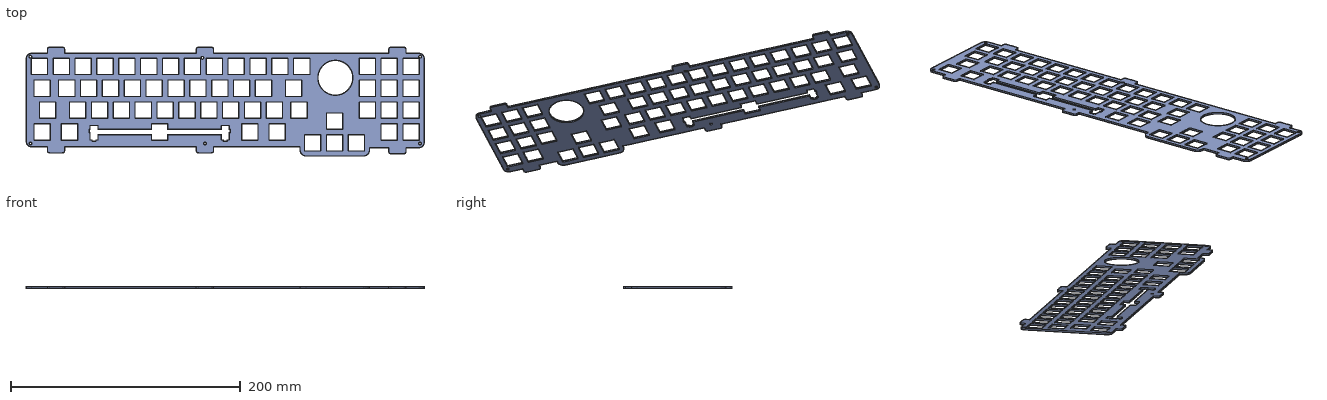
import cadquery as cq

THICKNESS = 1.6
KEY_PITCH = 19.05
SWITCH_SIZE = 14.0
COLUMNS = 18
MARGIN = 2.0
LENGTH = COLUMNS * KEY_PITCH + 2 * MARGIN
OVERALL_WIDTH = 94.96
MAIN_WIDTH = 81.75
CORNER_RADIUS = 4.75

SPACE_BAR = 7
MAIN_ROWS = (
    [1] * 13,
    [1.25] + [1] * 10 + [1.75],
    [1.75] + [1] * 10 + [1.25],
    [1.25, 1.25, SPACE_BAR, 1.25, 1.25],
)
SPACE_ROW = len(MAIN_ROWS) - 1
SPACE_COLUMN = 5.5

KEYPAD_ROWS = ((15, 16, 17), (15, 16, 17), (15, 16, 17), (16, 17))

ARROW_FIRST_COLUMN = 12.5
ARROW_KEYS = 3
ARROW_ROW = 3.5
ARROW_CORNER_RADIUS = 5.5
ARROW_LEFT_TRIM = 0.4

RIGHT = LENGTH / 2
LEFT = -RIGHT
ARROW_BOTTOM = -OVERALL_WIDTH / 2
TOP = ARROW_BOTTOM + (ARROW_ROW + 1) * KEY_PITCH + 2 * MARGIN
BOTTOM = TOP - MAIN_WIDTH
RIGHT_DROP = 0.725
RIGHT_BOTTOM = BOTTOM - RIGHT_DROP
ARROW_BLOCK_LEFT = LEFT + ARROW_FIRST_COLUMN * KEY_PITCH
ARROW_LEFT = ARROW_BLOCK_LEFT + ARROW_LEFT_TRIM
ARROW_RIGHT = ARROW_BLOCK_LEFT + ARROW_KEYS * KEY_PITCH + 2 * MARGIN

TAB_WIDTH = 15.2
TAB_LENGTH = OVERALL_WIDTH / 2 - TOP
TAB_CORNER_RADIUS = 2.0
TAB_PAIRS = ((26.0, BOTTOM), (155.75, BOTTOM), (323.4, RIGHT_BOTTOM))

KNOB_DIAMETER = 30.25
KNOB_COLUMN = 13.5
KNOB_ROW = 0.5
KNOB_SHIFT_X = 0.7
KNOB_SHIFT_Y = -0.4

SCREW_DIAMETER = 2.2
SCREW_INSET_X = 3.65
SCREW_INSET_Y = 3.05
UPPER_SCREW_OFFSET_X = 153.6
UPPER_SCREW_INSET_Y = 4.0
LOWER_SCREW_OFFSET_X = 155.9

STABILIZER_REACH = 57.15
STABILIZER_WIDTH = 6.75
STABILIZER_TOP = 5.6
STABILIZER_BOTTOM = -6.77
WIRE_SLOT_HALF_WIDTH = 2.3
FOOT_WIDTH = 3.3
FOOT_BOTTOM = -7.97
CLIP_REACH = 4.2
CLIP_BOTTOM = -0.5


def column_x(column):
    """X of a key centre, counted in key units from the first key."""
    return LEFT + MARGIN + (column + 0.5) * KEY_PITCH


def row_y(row):
    """Y of a key centre, counted in key units down from the top row."""
    return TOP - MARGIN - (row + 0.5) * KEY_PITCH


def block(x_min, x_max, y_min, y_max):
    """Block as thick as the plate, between the given X and Y limits."""
    size = (x_max - x_min, y_max - y_min, THICKNESS)
    return cq.Workplane("XY").box(*size, centered=False).translate((x_min, y_min, 0))


def block_about(x, width, y_min, y_max):
    """Block as thick as the plate, centred on x."""
    return block(x - width / 2, x + width / 2, y_min, y_max)


def round_holes(centres, diameter):
    return cq.Workplane("XY").pushPoints(centres).circle(diameter / 2).extrude(THICKNESS)


def make_plate():
    """Solid outline: main plate, slightly deeper right end, arrow key block and tabs."""
    plate = block(LEFT, RIGHT, BOTTOM, TOP)
    plate = plate.union(block(ARROW_LEFT, RIGHT, RIGHT_BOTTOM, TOP))
    plate = plate.edges("|Z").edges("<X or >X").fillet(CORNER_RADIUS)

    arrow_block = block(ARROW_LEFT, ARROW_RIGHT, ARROW_BOTTOM, row_y(ARROW_ROW - 1))
    plate = plate.union(arrow_block.edges("|Z and <Y").fillet(ARROW_CORNER_RADIUS))

    for offset, lower_edge in TAB_PAIRS:
        tabs = block_about(LEFT + offset, TAB_WIDTH, lower_edge - TAB_LENGTH, TOP + TAB_LENGTH)
        plate = plate.union(tabs.edges("|Z").fillet(TAB_CORNER_RADIUS))
    return plate


def main_key_centres():
    centres = []
    for row, widths in enumerate(MAIN_ROWS):
        left_side = -0.5
        for width in widths:
            centres.append((column_x(left_side + width / 2), row_y(row)))
            left_side += width
    return centres


def keypad_centres():
    return [(column_x(column), row_y(row)) for row, columns in enumerate(KEYPAD_ROWS) for column in columns]


def arrow_key_centres():
    centres = [(column_x(ARROW_FIRST_COLUMN + i), row_y(ARROW_ROW)) for i in range(ARROW_KEYS)]
    centres.append((column_x(ARROW_FIRST_COLUMN + 1), row_y(ARROW_ROW - 1)))
    return centres


def switch_openings():
    centres = main_key_centres() + keypad_centres() + arrow_key_centres()
    return cq.Workplane("XY").pushPoints(centres).rect(SWITCH_SIZE, SWITCH_SIZE).extrude(THICKNESS)


def stabilizer_opening():
    """Wire slot with a housing opening at each end, each with a foot notch and an outer clip notch."""
    opening = block_about(0, 2 * STABILIZER_REACH, -WIRE_SLOT_HALF_WIDTH, WIRE_SLOT_HALF_WIDTH)
    for side in (-1, 1):
        x = side * STABILIZER_REACH
        clip_left, clip_right = sorted((x, x + side * CLIP_REACH))
        opening = opening.union(block_about(x, STABILIZER_WIDTH, STABILIZER_BOTTOM, STABILIZER_TOP))
        opening = opening.union(block_about(x, FOOT_WIDTH, FOOT_BOTTOM, 0))
        opening = opening.union(block(clip_left, clip_right, CLIP_BOTTOM, WIRE_SLOT_HALF_WIDTH))
    return opening.translate((column_x(SPACE_COLUMN), row_y(SPACE_ROW), 0))


def knob_opening():
    centre = (column_x(KNOB_COLUMN) + KNOB_SHIFT_X, row_y(KNOB_ROW) + KNOB_SHIFT_Y)
    return round_holes([centre], KNOB_DIAMETER)


def screw_holes():
    lower_y = BOTTOM + SCREW_INSET_Y
    upper_y = TOP - SCREW_INSET_Y
    centres = [(x, y) for x in (LEFT + SCREW_INSET_X, RIGHT - SCREW_INSET_X) for y in (lower_y, upper_y)]
    centres.append((LEFT + UPPER_SCREW_OFFSET_X, TOP - UPPER_SCREW_INSET_Y))
    centres.append((LEFT + LOWER_SCREW_OFFSET_X, lower_y))
    return round_holes(centres, SCREW_DIAMETER)


result = (
    make_plate()
    .cut(switch_openings())
    .cut(stabilizer_opening())
    .cut(knob_opening())
    .cut(screw_holes())
)